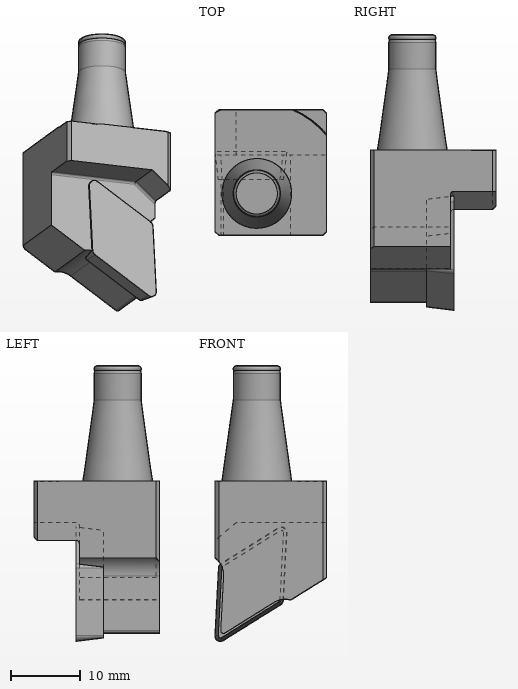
import cadquery as cq
import math



def sine(degrees):
    return math.sin(math.radians(degrees))


def cosine(degrees):
    return math.cos(math.radians(degrees))


def along(point, direction, distance):
    return (point[0] + direction[0] * distance, point[1] + direction[1] * distance)


block_left = -6.0
block_right = 10.0
block_front = -6.0
block_back = 12.0
chamfer = 0.5
left_chamfer_x = 0.6

shank_length = 16.5
cone_length = 11.6
cone_bottom_radius = 5.0
shank_radius = 6.75 / 2
groove_bottom = 15.4
bead_bottom = 15.76
bead_middle = 16.1
bead_top = 16.38
bead_top_radius = 3.18
groove_depth = 0.06
shank_end_radius = 2.95

seat_radius = 13.0
seat_ramp = 0.12
seat_height = 0.1

insert_angle = 55.0
insert_side = 11.63
insert_thickness = 3.97
insert_relief = 7.0
nose_radius = 0.8
insert_lean = 3.0
rake_face_y = 6.0
tip_z = -23.0

lower_tilt = 90 - insert_lean - insert_angle
left_edge = (sine(insert_lean), cosine(insert_lean))
lower_edge = (cosine(lower_tilt), sine(lower_tilt))
left_outward = (-cosine(insert_lean), sine(insert_lean))
lower_outward = (sine(lower_tilt), -cosine(lower_tilt))
bisector_angle = insert_lean + insert_angle / 2
bisector = (sine(bisector_angle), cosine(bisector_angle))
nose_center = (block_left + nose_radius, tip_z + nose_radius)

leg_back = 5.5
leg_tip_radius = 0.4
notch_radius = 3.0
left_notch_distance = 8.57
lower_notch_distance = 9.0
heel_offset = 1.0

clearance_left_z = -8.56
clearance_slope = 40.0
clearance_top_z = -6.0
clearance_fillet = 0.35
side_margin = 1.0


def make_insert():
    sharp_tip = along(nose_center, bisector, -nose_radius / sine(insert_angle / 2))
    left_corner = along(sharp_tip, left_edge, insert_side)
    right_corner = along(sharp_tip, lower_edge, insert_side)
    far_corner = along(left_corner, lower_edge, insert_side)
    outline = cq.Sketch().polygon([sharp_tip, right_corner, far_corner, left_corner, sharp_tip])
    outline = outline.vertices().fillet(nose_radius)
    face = cq.Workplane("XZ", origin=(0, rake_face_y, 0)).placeSketch(outline)
    return face.extrude(insert_thickness, taper=insert_relief)


def make_block():
    """Block and leg as one profile, with vertical corner chamfers and two relief notches."""
    left_tangent = along(nose_center, left_edge, left_notch_distance)
    lower_tangent = along(nose_center, lower_edge, lower_notch_distance)
    left_step = (left_tangent[0] - block_left) / cosine(insert_lean)
    left_shoulder = along(left_tangent, left_outward, left_step)
    heel = along(lower_tangent, lower_outward, heel_offset)
    heel_end_z = heel[1] + (block_right - heel[0]) * math.tan(math.radians(lower_tilt))
    profile = [
        (block_left, 0),
        left_shoulder,
        left_tangent,
        nose_center,
        lower_tangent,
        heel,
        (block_right, heel_end_z),
        (block_right, 0),
    ]
    depth = block_back - block_front
    plane = cq.Workplane("XZ", origin=(0, block_back, 0))
    block = plane.polyline(profile).close().extrude(depth)
    tip = cq.selectors.NearestToPointSelector((nose_center[0], block_front + depth / 2, nose_center[1]))
    block = block.edges(tip).fillet(leg_tip_radius)
    notch_centers = [
        along(left_tangent, left_outward, notch_radius),
        along(lower_tangent, lower_outward, notch_radius),
    ]
    block = block.cut(plane.pushPoints(notch_centers).circle(notch_radius).extrude(depth))
    footprint = [
        (block_left + left_chamfer_x, block_front),
        (block_right - chamfer, block_front),
        (block_right, block_front + chamfer),
        (block_right, block_back - chamfer),
        (block_right - chamfer, block_back),
        (block_left + left_chamfer_x, block_back),
        (block_left, block_back - chamfer),
        (block_left, block_front + chamfer),
    ]
    envelope = cq.Workplane("XY").polyline(footprint).close().extrude(tip_z)
    return block.intersect(envelope)


def make_clearance():
    """Space behind the leg: its roof rises from the left side, then runs level above the insert."""
    slope = math.tan(math.radians(clearance_slope))
    roof = [
        (block_left - side_margin, clearance_left_z - side_margin * slope),
        (block_left + (clearance_top_z - clearance_left_z) / slope, clearance_top_z),
        (block_right + side_margin, clearance_top_z),
        (block_right + side_margin, tip_z - side_margin),
        (block_left - side_margin, tip_z - side_margin),
    ]
    plane = cq.Workplane("XZ", origin=(0, block_back, 0))
    space = plane.polyline(roof).close().extrude(block_back - leg_back)
    return space.faces("<Y").edges().fillet(clearance_fillet)


def make_shank():
    groove_radius = shank_radius - groove_depth
    half = (
        cq.Workplane("XZ")
        .moveTo(0, 0)
        .lineTo(cone_bottom_radius, 0)
        .lineTo(shank_radius, cone_length)
        .lineTo(shank_radius, groove_bottom)
        .lineTo(groove_radius, bead_bottom)
        .threePointArc((shank_radius, bead_middle), (bead_top_radius, bead_top))
        .lineTo(shank_end_radius, shank_length)
        .lineTo(0, shank_length)
        .close()
    )
    return half.revolve(360, (0, 0, 0), (0, 1, 0))


def make_corner_relief():
    """Thin layer outside the seat face, bounded by a cone about the shank axis."""
    layer_radius = 2 * seat_radius
    layer = cq.Workplane("XY").circle(layer_radius).extrude(-seat_height)
    seat = cq.Solid.makeCone(seat_radius + seat_ramp, seat_radius, seat_height, cq.Vector(0, 0, -seat_height))
    return layer.cut(cq.Workplane(obj=seat))


insert = make_insert()
holder = make_block().cut(make_clearance()).cut(make_corner_relief()).union(make_shank()).cut(insert)

result = cq.Compound.makeCompound([holder.solids().val(), insert.val()])